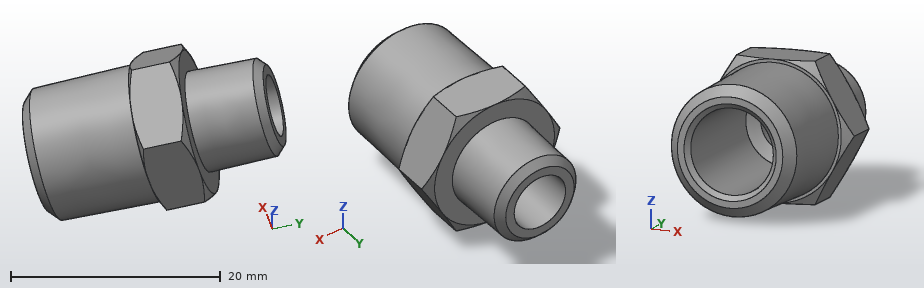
import cadquery as cq
import math

total_length = 23.5
large_end_length = 11.0
hex_length = 5.0
large_chamfer_length = 1.0
small_chamfer_length = 0.8

large_tip_radius = 5.43
large_front_radius = 6.46
large_root_radius = 6.7
small_root_radius = 4.94
small_front_radius = 4.8
small_tip_radius = 4.0

across_flats = 14.0
hex_chamfer_angle = 30.0
hex_chamfer_radius = across_flats / 2

mouth_radius = 4.75
mouth_chamfer_angle = 45.0
bore_radius = 4.25
passage_radius = 3.0
bore_depth = 14.5
bore_cone_angle = 60.0

hex_start = large_end_length
hex_end = hex_start + hex_length
corner_radius = across_flats / 2 / math.cos(math.radians(30))
hex_chamfer_length = (corner_radius - hex_chamfer_radius) * math.tan(math.radians(hex_chamfer_angle))
mouth_chamfer_length = (mouth_radius - bore_radius) / math.tan(math.radians(mouth_chamfer_angle))
bore_cone_length = (bore_radius - passage_radius) / math.tan(math.radians(bore_cone_angle))


def revolve_profile(points):
    """Revolve a closed (radius, y) outline about the Y axis."""
    return cq.Workplane("XY").polyline(points).close().revolve(360, (0, 0, 0), (0, 1, 0))


def make_hexagon():
    """Hexagon with flats at the top and bottom and both ends chamfered."""
    prism = (
        cq.Workplane("XZ", origin=(0, hex_start, 0))
        .polygon(6, 2 * corner_radius)
        .extrude(-hex_length)
    )
    chamfer_envelope = revolve_profile([
        (0, hex_start),
        (hex_chamfer_radius, hex_start),
        (corner_radius, hex_start + hex_chamfer_length),
        (corner_radius, hex_end - hex_chamfer_length),
        (hex_chamfer_radius, hex_end),
        (0, hex_end),
    ])
    return prism.intersect(chamfer_envelope)


def make_spigots():
    """Large and small tapered ends, joined through the hexagon."""
    return revolve_profile([
        (0, 0),
        (large_tip_radius, 0),
        (large_front_radius, large_chamfer_length),
        (large_root_radius, hex_start),
        (small_root_radius, hex_end),
        (small_front_radius, total_length - small_chamfer_length),
        (small_tip_radius, total_length),
        (0, total_length),
    ])


def make_bore():
    """Through passage that opens into a wider bore at the large end."""
    return revolve_profile([
        (0, 0),
        (mouth_radius, 0),
        (bore_radius, mouth_chamfer_length),
        (bore_radius, bore_depth),
        (passage_radius, bore_depth + bore_cone_length),
        (passage_radius, total_length),
        (0, total_length),
    ])


result = make_hexagon().union(make_spigots()).cut(make_bore())